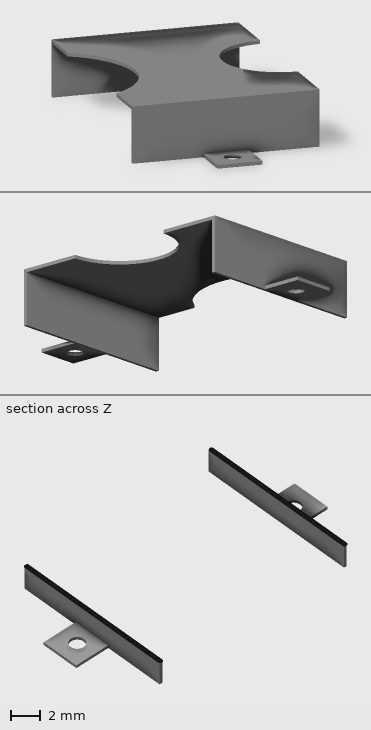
import cadquery as cq

overall_length = 23.2
body_length = 17.3
body_width = 13.25
height = 4.0
sheet = 0.25

tab_width = 3.2
hole_diameter = 1.2
hole_spacing = 20.0

back_notch_radius = 4.0
front_notch_radius = 6.0
front_notch_depth = 3.0

back_edge = body_width / 2
front_edge = -body_width / 2
front_notch_center = front_edge + front_notch_depth - front_notch_radius


def make_channel():
    """Top plate with a full-width wall bent down at each end."""
    block = cq.Workplane("XY").box(body_length, body_width, height, centered=(True, True, False))
    inside = cq.Workplane("XY").box(
        body_length - 2 * sheet, body_width, height - sheet, centered=(True, True, False)
    )
    return block.cut(inside)


def make_tabs():
    """Mounting tabs at the foot of both walls, each with a hole."""
    strip = cq.Workplane("XY").box(overall_length, tab_width, sheet, centered=(True, True, False))
    between_walls = cq.Workplane("XY").box(
        body_length - 2 * sheet, tab_width, sheet, centered=(True, True, False)
    )
    holes = (
        cq.Workplane("XY")
        .pushPoints([(-hole_spacing / 2, 0), (hole_spacing / 2, 0)])
        .circle(hole_diameter / 2)
        .extrude(sheet)
    )
    return strip.cut(between_walls).cut(holes)


def make_notch(center_y, radius):
    """Round cutter through the top plate, on the centre line of the part."""
    return cq.Workplane("XY").center(0, center_y).circle(radius).extrude(height)


result = (
    make_channel()
    .union(make_tabs())
    .cut(make_notch(back_edge, back_notch_radius))
    .cut(make_notch(front_notch_center, front_notch_radius))
)